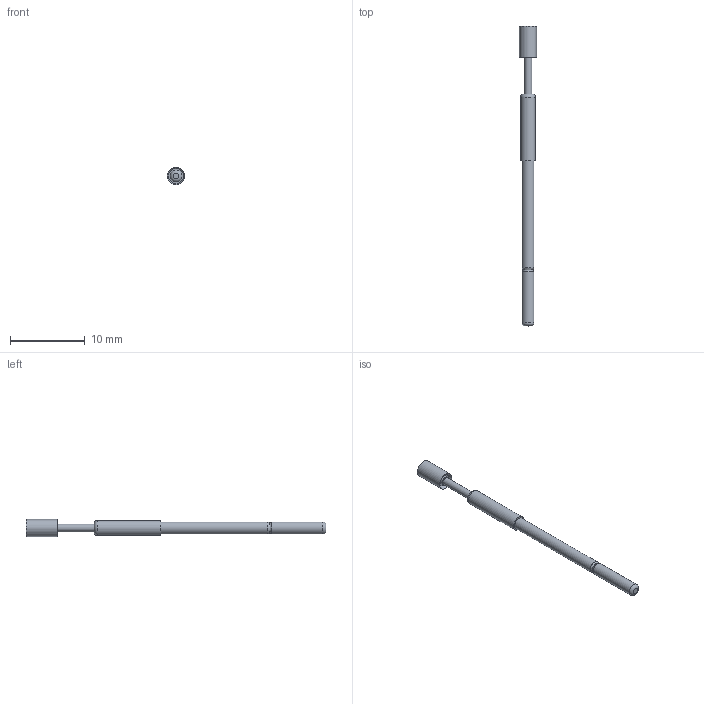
import cadquery as cq

total_length = 40.1

barrel_radius = 0.8
tip_rounding = 0.4
groove_start = 7.22
groove_width = 0.58
groove_depth = 0.13

collar_radius = 1.0
collar_start = 22.1
collar_length = 8.9
collar_rounding = 0.4

plunger_radius = 0.5
head_radius = 1.15
head_length = 4.2
recess_depth = 0.45
recess_floor_radius = 0.9
boss_radius = 0.6
boss_length = 0.4

collar_end = collar_start + collar_length
head_start = total_length - head_length


def cylinder_along_y(radius, start, end):
    """Solid cylinder on the Y axis between two Y positions."""
    return cq.Workplane("XZ", origin=(0, start, 0)).circle(radius).extrude(start - end)


def revolve_about_y(profile):
    """Turn a closed (radius, Y) profile around the Y axis."""
    return profile.close().revolve(360, (0, 0, 0), (0, 1, 0))


def make_barrel():
    barrel = cylinder_along_y(barrel_radius, 0, collar_start)
    barrel = barrel.faces("<Y").edges().fillet(tip_rounding)
    groove = revolve_about_y(
        cq.Workplane("XY")
        .moveTo(barrel_radius, groove_start)
        .lineTo(barrel_radius - groove_depth, groove_start + groove_width / 2)
        .lineTo(barrel_radius, groove_start + groove_width)
    )
    return barrel.cut(groove)


def make_collar():
    collar = cylinder_along_y(collar_radius, collar_start, collar_end)
    return collar.faces(">Y").edges().fillet(collar_rounding)


def make_plunger():
    return cylinder_along_y(plunger_radius, collar_end, total_length)


def make_head():
    """Cylindrical head whose rear face is hollowed by a tapered recess around a central boss."""
    head = cylinder_along_y(head_radius, head_start, total_length)
    recess = revolve_about_y(
        cq.Workplane("XY")
        .moveTo(0, head_start)
        .lineTo(head_radius, head_start)
        .lineTo(recess_floor_radius, head_start + recess_depth)
        .lineTo(0, head_start + recess_depth)
    )
    recess_floor = head_start + recess_depth
    boss = cylinder_along_y(boss_radius, recess_floor - boss_length, recess_floor)
    return head.cut(recess).union(boss)


result = make_barrel().union(make_collar()).union(make_head()).union(make_plunger())